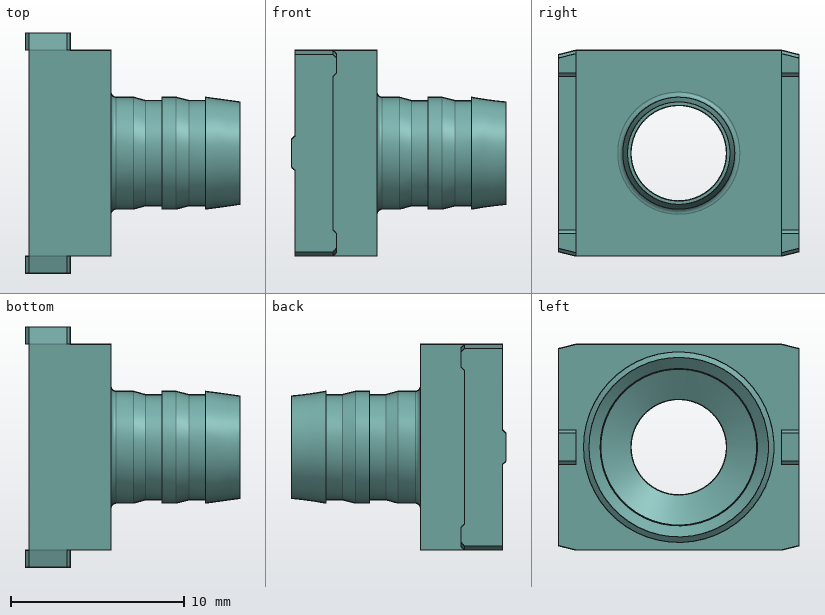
import cadquery as cq
import math

block_size = 11.9
block_depth = 4.75
overall_width = 13.9
half_block = block_size / 2
half_width = overall_width / 2

ear_depth = 2.4
ear_taper = 0.25
ear_step = 0.2
relief_half_height = 4.63
pad_half_height = 1.0

barb_radius = 3.24
neck_radius = 3.05
tip_radius = 2.96
root_fillet = 0.29
collar_end = 6.05
first_neck_start = 6.74
second_barb_start = 7.69
second_barb_end = 8.5
second_neck_start = 9.26
last_barb_start = 10.2
tip_end = 12.2

bore_radius = 2.75
throat_radius = 4.5
throat_end = 1.38
funnel_angle = 60.0
funnel_end = throat_end + (throat_radius - bore_radius) / math.tan(math.radians(funnel_angle))

seat_outer_radius = 5.5
seat_depth = 0.8
lip_radius = 5.18
lip_bevel = seat_outer_radius - lip_radius
seat_inner_radius = 4.55
lead_in_depth = lip_radius - seat_inner_radius


def revolve_about_x(profile):
    """Revolve a closed XY profile (x, radius) about the X axis."""
    return profile.close().revolve(360, (0, 0, 0), (1, 0, 0))


def make_ear():
    """Build the ear on the +Y side, with tapered ends, rear relief and front pad."""
    end_half_height = half_block - ear_taper
    ear = (
        cq.Workplane("YZ")
        .polyline([
            (half_block, -half_block),
            (half_width, -end_half_height),
            (half_width, end_half_height),
            (half_block, half_block),
        ])
        .close()
        .extrude(ear_depth)
    )
    ear = ear.faces(">Z or <Z").edges(">X").chamfer(ear_step)

    ear_width = half_width - half_block
    relief_floor = relief_half_height - ear_step
    relief = (
        cq.Workplane("XZ", origin=(0, half_width, 0))
        .polyline([
            (ear_depth, -relief_half_height),
            (ear_depth - ear_step, -relief_floor),
            (ear_depth - ear_step, relief_floor),
            (ear_depth, relief_half_height),
        ])
        .close()
        .extrude(ear_width)
    )
    pad_top = pad_half_height - ear_step
    pad = (
        cq.Workplane("XZ", origin=(0, half_width, 0))
        .polyline([
            (0, -pad_half_height),
            (-ear_step, -pad_top),
            (-ear_step, pad_top),
            (0, pad_half_height),
        ])
        .close()
        .extrude(ear_width)
    )
    return ear.cut(relief).union(pad)


def make_barb():
    """Build the solid hose barb, with a concave fillet at its root."""
    arc_offset = root_fillet * (1 - math.sqrt(0.5))
    return revolve_about_x(
        cq.Workplane("XY")
        .moveTo(block_depth, 0)
        .lineTo(block_depth, barb_radius + root_fillet)
        .threePointArc(
            (block_depth + arc_offset, barb_radius + arc_offset),
            (block_depth + root_fillet, barb_radius),
        )
        .lineTo(collar_end, barb_radius)
        .lineTo(first_neck_start, neck_radius)
        .lineTo(second_barb_start, neck_radius)
        .lineTo(second_barb_start, barb_radius)
        .lineTo(second_barb_end, barb_radius)
        .lineTo(second_neck_start, neck_radius)
        .lineTo(last_barb_start, neck_radius)
        .lineTo(last_barb_start, barb_radius)
        .lineTo(tip_end, tip_radius)
        .lineTo(tip_end, 0)
    )


def make_bore():
    """Build the void: seat recess, throat, funnel and through bore."""
    return revolve_about_x(
        cq.Workplane("XY")
        .moveTo(0, 0)
        .lineTo(0, seat_outer_radius)
        .lineTo(seat_depth, seat_outer_radius)
        .lineTo(seat_depth, throat_radius)
        .lineTo(throat_end, throat_radius)
        .lineTo(funnel_end, bore_radius)
        .lineTo(tip_end, bore_radius)
        .lineTo(tip_end, 0)
    )


def make_housing():
    """Join the block, both ears and the barb, then cut the bore."""
    block = cq.Workplane("XY").box(
        block_depth, block_size, block_size, centered=(False, True, True)
    )
    ear = make_ear()
    opposite_ear = ear.mirror("XZ")
    return block.union(ear).union(opposite_ear).union(make_barb()).cut(make_bore())


def make_seat_ring():
    """Build the sharp-lipped ring that sits in the front recess."""
    return revolve_about_x(
        cq.Workplane("XY")
        .moveTo(0, lip_radius)
        .lineTo(lip_bevel, seat_outer_radius)
        .lineTo(seat_depth, seat_outer_radius)
        .lineTo(seat_depth, seat_inner_radius)
        .lineTo(lead_in_depth, seat_inner_radius)
    )


housing = make_housing()
seat_ring = make_seat_ring()

result = cq.Compound.makeCompound([housing.val(), seat_ring.val()])